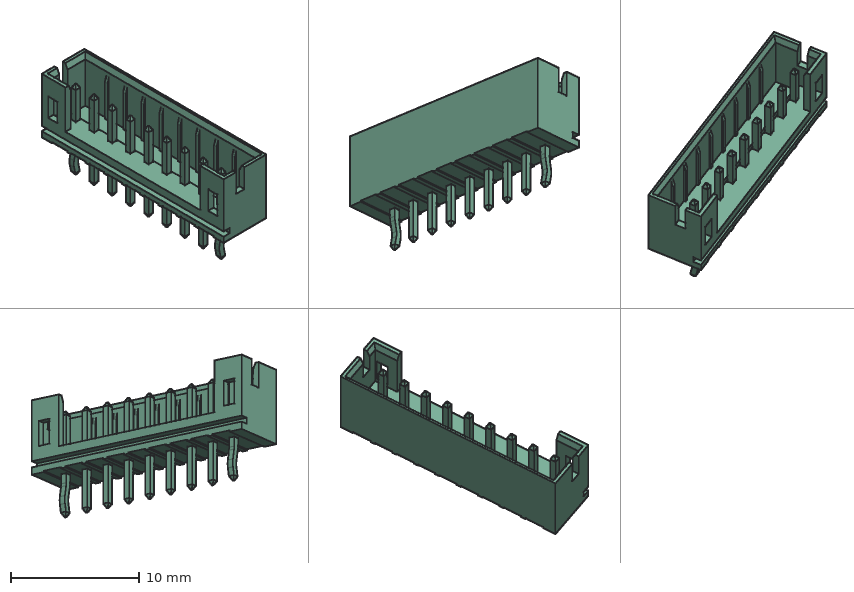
import cadquery as cq

PIN_COUNT = 9
PITCH = 2.0
PIN_SIZE = 0.5
HALF_PIN = PIN_SIZE / 2
PIN_TOP = 5.25
PIN_BOTTOM = -3.4
PIN_TAPER = 0.35
HALF_TIP = 0.05
ROW_LENGTH = (PIN_COUNT - 1) * PITCH

BEND_START_Z = -0.78
BEND_PEAK_Z = -2.08
BEND_PEAK_Y = -0.25
BEND_END_Y = -0.05
BEND_START_RADIUS = 1.3
BEND_PEAK_RADIUS = 1.15

LENGTH = 20.0
DEPTH = 4.7
HEIGHT = 6.1
BACK_Y = 2.95
FRONT_Y = BACK_Y - DEPTH

END_WALL = 0.55
BACK_WALL = 0.45
FRONT_WALL = 0.6
LEAD_IN = 0.25
LEAD_IN_DEPTH = 0.5
FLOOR_Z = 1.85
STEP_DROP = 0.7
STEP_TOP_Y = 0.33
STEP_BOTTOM_Y = 0.85
CAVITY_LENGTH = LENGTH - 2 * END_WALL
CAVITY_BACK_Y = BACK_Y - BACK_WALL
CAVITY_FRONT_Y = FRONT_Y + FRONT_WALL

FRONT_OPENING_LENGTH = 14.8
SLOT_WIDTH = 0.9
SLOT_CENTRE_Y = 0.1
SLOT_BOTTOM_Z = 4.0
WINDOW_WIDTH = 1.0
WINDOW_HEIGHT = 2.05
WINDOW_CENTRE_X = 8.8
WINDOW_CENTRE_Z = 3.25
GROOVE_BOTTOM_Z = 0.6
GROOVE_HEIGHT = 0.5
GROOVE_DEPTH = 0.7

RIB_WIDTH = 0.3
RIB_DEPTH = 0.15
RIB_TOP = 5.2
RIB_TAPER = 0.5

FOOT_HEIGHT = 0.1
FOOT_WIDTH = 0.42
END_FOOT_LENGTH = 1.15

PIN_XS = [i * PITCH - ROW_LENGTH / 2 for i in range(PIN_COUNT)]
RIB_XS = [x + PITCH / 2 for x in PIN_XS[:-1]]


def block(x_min, x_max, y_min, y_max, z_min, z_max):
    """Box between two opposite corners."""
    size = (x_max - x_min, y_max - y_min, z_max - z_min)
    return cq.Workplane("XY").box(*size, centered=False).translate((x_min, y_min, z_min))


def make_cavity():
    """Open-topped pocket with a stepped floor and a flared rim."""
    profile = [
        (CAVITY_FRONT_Y, HEIGHT),
        (CAVITY_FRONT_Y, FLOOR_Z),
        (STEP_TOP_Y, FLOOR_Z),
        (STEP_BOTTOM_Y, FLOOR_Z - STEP_DROP),
        (CAVITY_BACK_Y, FLOOR_Z - STEP_DROP),
        (CAVITY_BACK_Y, HEIGHT),
    ]
    pocket = cq.Workplane("YZ").polyline(profile).close().extrude(CAVITY_LENGTH / 2, both=True)
    width = CAVITY_BACK_Y - CAVITY_FRONT_Y
    rim = (
        cq.Workplane("XY", origin=(0, (CAVITY_BACK_Y + CAVITY_FRONT_Y) / 2, HEIGHT))
        .rect(CAVITY_LENGTH + 2 * LEAD_IN, width + 2 * LEAD_IN)
        .workplane(offset=-LEAD_IN_DEPTH)
        .rect(CAVITY_LENGTH, width)
        .loft(ruled=True)
    )
    return pocket.union(rim)


def make_rib(x):
    """Slim rib on the back wall with a sloping top."""
    rib_front_y = CAVITY_BACK_Y - RIB_DEPTH
    profile = [
        (CAVITY_BACK_Y, FLOOR_Z - STEP_DROP),
        (rib_front_y, FLOOR_Z - STEP_DROP),
        (rib_front_y, RIB_TOP - RIB_TAPER),
        (CAVITY_BACK_Y, RIB_TOP),
    ]
    rib = cq.Workplane("YZ").polyline(profile).close().extrude(RIB_WIDTH / 2, both=True)
    return rib.translate((x, 0, 0))


def make_foot(x_min, x_max):
    """Low pad across the full depth of the underside."""
    return block(x_min, x_max, FRONT_Y, BACK_Y, 0, FOOT_HEIGHT)


def make_housing():
    """Shroud with its wall openings, ribs, feet and pin holes."""
    half = LENGTH / 2
    body = block(-half, half, FRONT_Y, BACK_Y, FOOT_HEIGHT, HEIGHT).cut(make_cavity())

    half_opening = FRONT_OPENING_LENGTH / 2
    body = body.cut(block(-half_opening, half_opening, FRONT_Y, CAVITY_FRONT_Y, FLOOR_Z, HEIGHT))

    slot_front_y = SLOT_CENTRE_Y - SLOT_WIDTH / 2
    body = body.cut(block(-half, half, slot_front_y, slot_front_y + SLOT_WIDTH, SLOT_BOTTOM_Z, HEIGHT))

    groove_top_z = GROOVE_BOTTOM_Z + GROOVE_HEIGHT
    body = body.cut(block(-half, half, FRONT_Y, FRONT_Y + GROOVE_DEPTH, GROOVE_BOTTOM_Z, groove_top_z))

    window = cq.Workplane("XY").box(WINDOW_WIDTH, FRONT_WALL, WINDOW_HEIGHT)
    for side in (-1, 1):
        place = (side * WINDOW_CENTRE_X, FRONT_Y + FRONT_WALL / 2, WINDOW_CENTRE_Z)
        body = body.cut(window.translate(place))

    for x in RIB_XS:
        body = body.union(make_rib(x))
        body = body.union(make_foot(x - FOOT_WIDTH / 2, x + FOOT_WIDTH / 2))
    body = body.union(make_foot(-half, -half + END_FOOT_LENGTH))
    body = body.union(make_foot(half - END_FOOT_LENGTH, half))

    for x in PIN_XS:
        body = body.cut(block(x - HALF_PIN, x + HALF_PIN, -HALF_PIN, HALF_PIN, 0, HEIGHT))
    return body


def pin_outline(plane, tail_shift=0, bends=()):
    """Pin silhouette with a blunt point at both ends, extruded wider than the pin.

    Bends are (shift, z) points of the centreline, from top to bottom. The tail
    shift moves the centreline where the lower taper begins, but not the tip.
    """
    shaft = [(0, PIN_TOP - PIN_TAPER), *bends, (tail_shift, PIN_BOTTOM + PIN_TAPER)]
    sections = [(0, PIN_TOP, HALF_TIP)]
    sections += [(shift, z, HALF_PIN) for shift, z in shaft]
    sections.append((0, PIN_BOTTOM, HALF_TIP))
    left = [(shift - half_width, z) for shift, z, half_width in sections]
    right = [(shift + half_width, z) for shift, z, half_width in reversed(sections)]
    return cq.Workplane(plane).polyline(left + right).close().extrude(PIN_SIZE, both=True)


def make_straight_pin():
    """Square pin with a blunt pyramid at each end."""
    return pin_outline("XZ").intersect(pin_outline("YZ"))


def round_bend(side, y, z, radius):
    """Round the one edge along X that passes through (y, z)."""
    reach = 0.01
    corner = cq.selectors.BoxSelector((-PIN_SIZE, y - reach, z - reach), (PIN_SIZE, y + reach, z + reach))
    return side.edges(corner).fillet(radius)


def make_bent_pin():
    """Square pin whose tail bulges towards -Y with rounded bends."""
    bends = [(0, BEND_START_Z), (BEND_PEAK_Y, BEND_PEAK_Z)]
    side = pin_outline("YZ", BEND_END_Y, bends)
    side = round_bend(side, -HALF_PIN, BEND_START_Z, BEND_START_RADIUS)
    side = round_bend(side, HALF_PIN, BEND_START_Z, BEND_START_RADIUS + PIN_SIZE)
    side = round_bend(side, BEND_PEAK_Y + HALF_PIN, BEND_PEAK_Z, BEND_PEAK_RADIUS)
    side = round_bend(side, BEND_PEAK_Y - HALF_PIN, BEND_PEAK_Z, BEND_PEAK_RADIUS + PIN_SIZE)
    return pin_outline("XZ").intersect(side)


housing = make_housing()
straight_pins = [make_straight_pin().translate((x, 0, 0)) for x in PIN_XS[1:-1]]
bent_pins = [make_bent_pin().translate((x, 0, 0)) for x in (PIN_XS[0], PIN_XS[-1])]

result = cq.Compound.makeCompound(
    [housing.val(), *[pin.val() for pin in straight_pins], *[pin.val() for pin in bent_pins]]
)